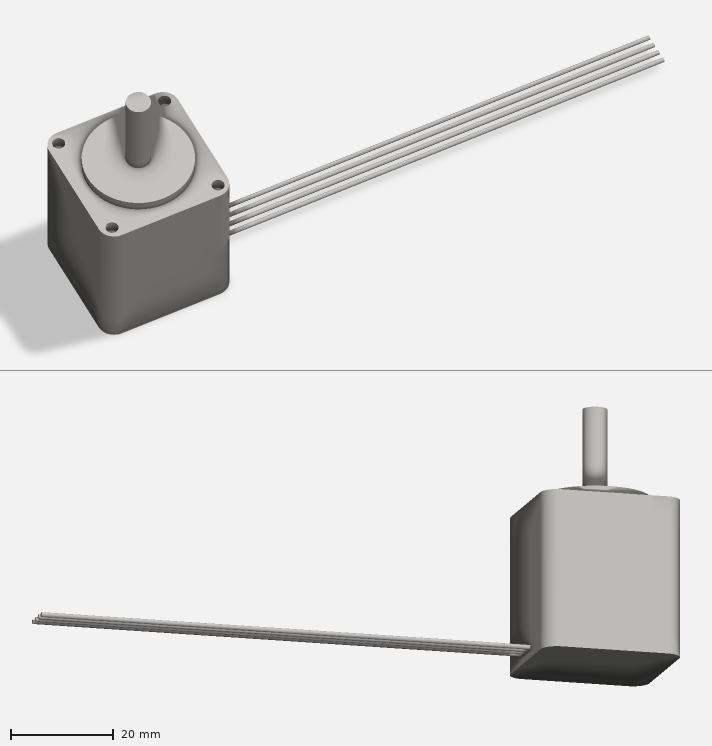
import cadquery as cq

overall_length = 126.7
overall_height = 51.3

body_width = 28.0
body_height = 31.4
corner_radius = 3.3

pilot_diameter = 22.0
pilot_height = 2.0
shaft_diameter = 5.0
shaft_length = overall_height - body_height - pilot_height

hole_diameter = 2.5
hole_spacing = 23.0
hole_depth = 2.5

wire_count = 4
wire_diameter = 0.91
wire_pitch = 2.0
wire_axis_height = 2.2
wire_length = overall_length - body_width


def make_body():
    """Square block with rounded vertical corners."""
    block = cq.Workplane("XY").box(body_width, body_width, body_height, centered=(True, True, False))
    return block.edges("|Z").fillet(corner_radius)


def add_pilot_and_shaft(body):
    """Round boss on the top face, with the output shaft standing on it."""
    with_pilot = body.faces(">Z").workplane().circle(pilot_diameter / 2).extrude(pilot_height)
    return with_pilot.faces(">Z").workplane().circle(shaft_diameter / 2).extrude(shaft_length)


def cut_mounting_holes(body):
    """Four flat-bottomed holes sunk into the top face of the block."""
    holes = (
        cq.Workplane("XY")
        .workplane(offset=body_height - hole_depth)
        .rect(hole_spacing, hole_spacing, forConstruction=True)
        .vertices()
        .circle(hole_diameter / 2)
        .extrude(hole_depth)
    )
    return body.cut(holes)


def add_wires(body):
    """Evenly spaced round wires running straight out along +Y."""
    first_x = -wire_pitch * (wire_count - 1) / 2
    centres = [(first_x + i * wire_pitch, wire_axis_height) for i in range(wire_count)]
    wires = (
        cq.Workplane("XZ")
        .workplane(offset=-body_width / 2)
        .pushPoints(centres)
        .circle(wire_diameter / 2)
        .extrude(-wire_length)
    )
    return body.union(wires)


motor = make_body()
motor = cut_mounting_holes(motor)
motor = add_pilot_and_shaft(motor)
result = add_wires(motor)